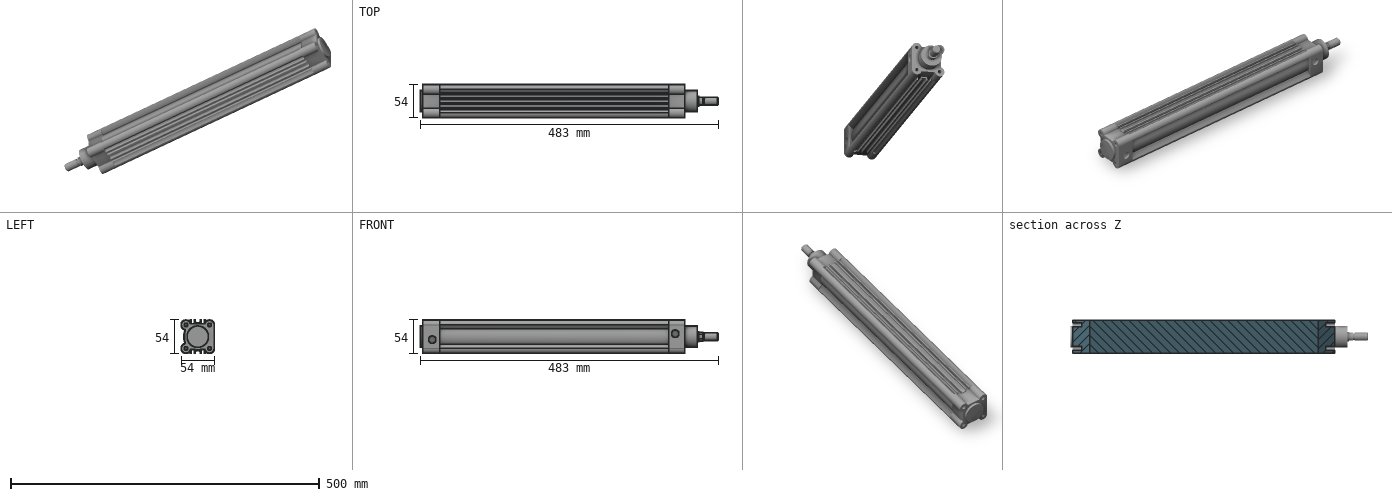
import cadquery as cq
import math


TOTAL_LENGTH = 483.0
REAR_CAP_START = 4.0
REAR_CAP_END = 32.0
FRONT_CAP_START = 403.0
FRONT_CAP_END = 429.0
BOSS_END = 449.0
FLATS_START = 451.5
FLATS_END = 458.5
THREAD_START = 461.0

SECTION_SIDE = 54.0
HALF_SIDE = SECTION_SIDE / 2
SCREW_PITCH = 38.0
SCREW_OFFSET = SCREW_PITCH / 2
CORNER_RADIUS = HALF_SIDE - SCREW_OFFSET
CORNERS = [(y, z) for y in (-SCREW_OFFSET, SCREW_OFFSET) for z in (-SCREW_OFFSET, SCREW_OFFSET)]

CAP_WAIST = 42.0
BOSS_DIAMETER = 35.0
SCREW_HOLE_DIAMETER = 6.0
SCREW_HOLE_DEPTH = 14.5
PORT_DIAMETER = 12.0
PORT_DEPTH = 9.5
PORT_OFFSET = 5.0
REAR_PORT_X = 19.5
FRONT_PORT_X = 413.5

TUBE_DIAMETER = 45.5
GROOVE_INNER = 12.5
FLANK_FOOT = HALF_SIDE - SCREW_OFFSET + GROOVE_INNER
SLOT_SPACING = 16.0
SLOT_MOUTH_WIDTH = 5.5
SLOT_WIDTH = 7.0
SLOT_FLOOR = 21.0
SLOT_LIP = 3.5
RIBS_TOP_WIDTH = 7.5
RIBS_FOOT_WIDTH = 11.5
RIBS_FOOT_HEIGHT = 22.0

ROD_DIAMETER = 16.0
FLATS_DIAMETER = 15.0
FLATS_WIDTH = 13.0
THREAD_DIAMETER = 13.0
NECK_DIAMETER = 10.5
THREAD_CHAMFER = 1.5


def section_plane(x):
    """Plane across the axis at x, with local axes along Y and Z."""
    return cq.Workplane("YZ", origin=(x, 0, 0))


def bar(y, z, width, height, start, end):
    """Rectangular bar along X centred on (y, z)."""
    return section_plane(start).center(y, z).rect(width, height).extrude(end - start)


def rod_piece(diameter, start, end):
    """Round bar on the axis."""
    return section_plane(start).circle(diameter / 2).extrude(end - start)


def make_cap(start, end, open_face, inward, port_x, port_z):
    """Cap with four corner lobes, a flat port side at -Y, screw holes and one port."""
    length = end - start
    cap = bar(0, 0, CAP_WAIST, CAP_WAIST, start, end)
    cap = cap.union(section_plane(start).pushPoints(CORNERS).circle(CORNER_RADIUS).extrude(length))
    cap = cap.union(bar(-HALF_SIDE / 2, 0, HALF_SIDE, 2 * SCREW_OFFSET, start, end))

    screw_holes = section_plane(open_face).pushPoints(CORNERS).circle(SCREW_HOLE_DIAMETER / 2)
    port = cq.Workplane("XZ", origin=(port_x, -HALF_SIDE, port_z)).circle(PORT_DIAMETER / 2)
    return cap.cut(screw_holes.extrude(inward * SCREW_HOLE_DEPTH)).cut(port.extrude(-PORT_DEPTH))


def make_rear_cap():
    cap = make_cap(REAR_CAP_START, REAR_CAP_END, REAR_CAP_START, 1, REAR_PORT_X, -PORT_OFFSET)
    return cap.union(rod_piece(BOSS_DIAMETER, 0, REAR_CAP_START))


def make_front_cap():
    cap = make_cap(FRONT_CAP_START, FRONT_CAP_END, FRONT_CAP_END, -1, FRONT_PORT_X, PORT_OFFSET)
    return cap.union(rod_piece(BOSS_DIAMETER, FRONT_CAP_END, BOSS_END))


def make_corner_lobe():
    """Barrel corner at +Y +Z: rounded outside, with straight flanks leading back to the tube."""
    arc_middle = SCREW_OFFSET + CORNER_RADIUS * math.sqrt(0.5)
    outline = (
        section_plane(REAR_CAP_END)
        .moveTo(GROOVE_INNER, GROOVE_INNER)
        .lineTo(FLANK_FOOT, GROOVE_INNER)
        .lineTo(HALF_SIDE, SCREW_OFFSET)
        .threePointArc((arc_middle, arc_middle), (SCREW_OFFSET, HALF_SIDE))
        .lineTo(GROOVE_INNER, FLANK_FOOT)
        .close()
    )
    return outline.extrude(FRONT_CAP_START - REAR_CAP_END)


def barrel_bar(bottom, top, width):
    """Bar over the full barrel length between two heights, centred on Y = 0."""
    return bar(0, (bottom + top) / 2, width, top - bottom, REAR_CAP_END, FRONT_CAP_START)


def make_rib_pair():
    """Solid block over one +Z slot, splayed below the lips, from which the slot leaves two ribs."""
    lip_bottom = HALF_SIDE - SLOT_LIP
    half_top = RIBS_TOP_WIDTH / 2
    half_foot = RIBS_FOOT_WIDTH / 2
    outline = (
        section_plane(REAR_CAP_END)
        .moveTo(half_foot, 0)
        .lineTo(half_foot, RIBS_FOOT_HEIGHT)
        .lineTo(half_top, lip_bottom)
        .lineTo(half_top, HALF_SIDE)
        .lineTo(-half_top, HALF_SIDE)
        .lineTo(-half_top, lip_bottom)
        .lineTo(-half_foot, RIBS_FOOT_HEIGHT)
        .lineTo(-half_foot, 0)
        .close()
    )
    return outline.extrude(FRONT_CAP_START - REAR_CAP_END)


def make_slot():
    """T-slot cutter open to +Z, centred on Y = 0."""
    mouth = barrel_bar(SLOT_FLOOR, HALF_SIDE, SLOT_MOUTH_WIDTH)
    return mouth.union(barrel_bar(SLOT_FLOOR, HALF_SIDE - SLOT_LIP, SLOT_WIDTH))


def make_barrel():
    """Round tube body with four corner lobes and two T-slots on each of the +Z and -Z sides."""
    barrel = rod_piece(TUBE_DIAMETER, REAR_CAP_END, FRONT_CAP_START)
    lobe = make_corner_lobe()
    for quarter in range(4):
        barrel = barrel.union(lobe.rotate((0, 0, 0), (1, 0, 0), 90 * quarter))

    rib_pair = make_rib_pair()
    slot = make_slot()
    for side in (-1, 1):
        offset = (0, side * SLOT_SPACING / 2, 0)
        for turn in (0, 180):
            barrel = barrel.union(rib_pair.translate(offset).rotate((0, 0, 0), (1, 0, 0), turn))
            barrel = barrel.cut(slot.translate(offset).rotate((0, 0, 0), (1, 0, 0), turn))
    return barrel


def make_rod():
    """Rod end standing on the front boss: collar, wrench flats, neck and threaded end."""
    collar = rod_piece(ROD_DIAMETER, BOSS_END, FLATS_START)
    flats = rod_piece(FLATS_DIAMETER, FLATS_START, FLATS_END)
    flats = flats.intersect(bar(0, 0, FLATS_WIDTH, FLATS_DIAMETER, FLATS_START, FLATS_END))
    rod = collar.union(flats)
    rod = rod.union(rod_piece(NECK_DIAMETER, FLATS_END, THREAD_START))
    thread = rod_piece(THREAD_DIAMETER, THREAD_START, TOTAL_LENGTH)
    return rod.union(thread.faces(">X").chamfer(THREAD_CHAMFER))


rear_cap = make_rear_cap()
barrel = make_barrel()
front_cap = make_front_cap()
rod = make_rod()

result = cq.Compound.makeCompound([rear_cap.val(), barrel.val(), front_cap.val(), rod.val()])